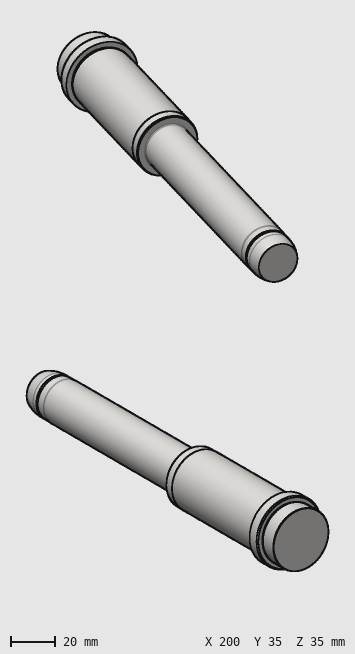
import cadquery as cq
import math

total_length = 200.0
collar_start = 9.0
collar_end = 15.0
body_start = 16.0
lead_start = 79.0
body_end = 84.0
pilot_start = 185.0
oil_groove_start = 189.2
oil_groove_end = 190.5
nose_start = 193.0

collar_diameter = 35.0
body_diameter = 30.0
lead_diameter = 29.8
stem_diameter = 22.0
pilot_diameter = 21.8
nose_end_diameter = 19.0

edge_chamfer = 0.5
relief_width = 0.5
relief_depth = 0.2
plug_chamfer = 0.2
lead_chamfer_depth = 0.5
oil_groove_depth = 0.2
stem_root_fillet = 0.5
pilot_taper_length = 0.5

collar_radius = collar_diameter / 2
body_radius = body_diameter / 2
lead_radius = lead_diameter / 2
stem_radius = stem_diameter / 2
pilot_radius = pilot_diameter / 2
nose_end_radius = nose_end_diameter / 2
centring_shift = (-total_length / 2, 0, 0)


def nose_midpoint():
    """Point halfway round the nose arc, which starts tangent to the pilot."""
    length = total_length - nose_start
    drop = pilot_radius - nose_end_radius
    arc_radius = (length**2 + drop**2) / (2 * drop)
    half_angle = math.asin(length / arc_radius) / 2
    x = nose_start + arc_radius * math.sin(half_angle)
    radius = pilot_radius - arc_radius * (1 - math.cos(half_angle))
    return x, radius


def half_profile():
    """Closed outline from the axis to the outer surface; X is axial, Y is radial."""
    relief_radius = body_radius - relief_depth
    fillet_middle = stem_root_fillet * (1 - math.sqrt(0.5))
    profile = cq.Workplane("XY").moveTo(0, 0)

    profile = (
        profile.lineTo(0, body_radius - plug_chamfer)
        .lineTo(plug_chamfer, body_radius)
        .lineTo(collar_start - relief_width, body_radius)
        .lineTo(collar_start - relief_width, relief_radius)
        .lineTo(collar_start, relief_radius)
    )

    profile = (
        profile.lineTo(collar_start, collar_radius - edge_chamfer)
        .lineTo(collar_start + edge_chamfer, collar_radius)
        .lineTo(collar_end, collar_radius)
        .lineTo(collar_end, relief_radius)
        .lineTo(body_start, relief_radius)
        .lineTo(body_start, body_radius)
        .lineTo(lead_start, body_radius)
        .lineTo(lead_start, lead_radius)
        .lineTo(body_end - edge_chamfer, lead_radius)
        .lineTo(body_end, lead_radius - lead_chamfer_depth)
    )

    profile = (
        profile.lineTo(body_end, stem_radius + stem_root_fillet)
        .threePointArc(
            (body_end + fillet_middle, stem_radius + fillet_middle),
            (body_end + stem_root_fillet, stem_radius),
        )
        .lineTo(pilot_start - pilot_taper_length, stem_radius)
        .lineTo(pilot_start, pilot_radius)
    )

    profile = (
        profile.lineTo(oil_groove_start, pilot_radius)
        .threePointArc(
            ((oil_groove_start + oil_groove_end) / 2, pilot_radius - oil_groove_depth),
            (oil_groove_end, pilot_radius),
        )
        .lineTo(nose_start, pilot_radius)
        .threePointArc(nose_midpoint(), (total_length, nose_end_radius))
        .lineTo(total_length, 0)
    )
    return profile.close()


pin = half_profile().revolve(360, (0, 0, 0), (1, 0, 0))
result = pin.translate(centring_shift)